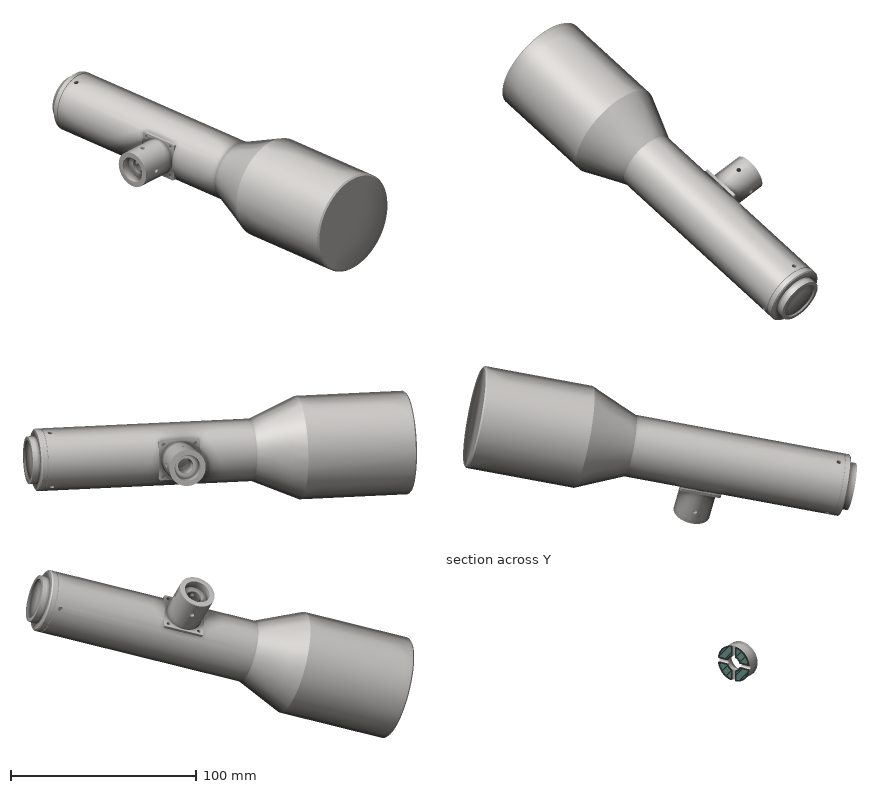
import cadquery as cq
import math

total_length = 209.2
eyepiece_radius = 13.0
eyepiece_length = 4.0
barrel_radius = 17.0
cap_end_x = 7.1
cap_chamfer = 0.6
groove_width = 0.6
groove_depth = 0.5
cone_start_x = 123.0
cone_end_x = 149.0
bell_radius = 28.0
bell_chamfer = 0.8

seat_radius = 10.9
seat_depth = 1.0
lens_radius = 9.6
lens_height = 0.8

screw_x = 10.9
screw_hole_radius = 1.3
screw_hole_depth = 2.0
screw_count = 3
first_screw_angle = 70.0

port_x = 80.3
port_radius = 10.0
port_end_y = -36.5
port_bore_radius = 7.1
port_bore_depth = 5.0
inner_bore_radius = 4.2
cross_hole_radius = 1.3
cross_hole_inset = 8.2

plate_width = 22.8
plate_height = 22.0
plate_corner_radius = 1.0
plate_front_y = -15.7
plate_thickness = 1.7
plate_hole_offset = 8.8
plate_hole_radius = 1.0


def cylinder(start, direction, radius, length):
    """Solid cylinder growing from a start point along a direction."""
    return cq.Workplane(cq.Solid.makeCylinder(radius, length, cq.Vector(*start), cq.Vector(*direction)))


def make_barrel():
    """Lens, eyepiece, end cap, groove, tube, cone and bell in one revolved profile."""
    groove_end_x = cap_end_x + groove_width
    groove_radius = barrel_radius - groove_depth
    lens_crown = (seat_depth - lens_height, 0)
    lens_rim = (seat_depth, lens_radius)

    sphere_radius = (lens_radius**2 + lens_height**2) / (2 * lens_height)
    half_angle = math.asin(lens_radius / sphere_radius) / 2
    lens_middle = (
        lens_crown[0] + sphere_radius * (1 - math.cos(half_angle)),
        sphere_radius * math.sin(half_angle),
    )

    outline = [
        (seat_depth, seat_radius),
        (0, seat_radius),
        (0, eyepiece_radius),
        (eyepiece_length, eyepiece_radius),
        (eyepiece_length, barrel_radius - cap_chamfer),
        (eyepiece_length + cap_chamfer, barrel_radius),
        (cap_end_x, barrel_radius),
        (cap_end_x, groove_radius),
        (groove_end_x, groove_radius),
        (groove_end_x, barrel_radius),
        (cone_start_x, barrel_radius),
        (cone_end_x, bell_radius),
        (total_length - bell_chamfer, bell_radius),
        (total_length, bell_radius - bell_chamfer),
        (total_length, 0),
    ]
    profile = cq.Workplane("XY").moveTo(*lens_crown).threePointArc(lens_middle, lens_rim)
    for point in outline:
        profile = profile.lineTo(*point)
    return profile.close().revolve(360, (0, 0), (1, 0, 0))


def cut_screw_holes(body):
    """Blind radial holes evenly spaced around the barrel."""
    for index in range(screw_count):
        angle = math.radians(first_screw_angle + index * 360 / screw_count)
        outward = (0, -math.cos(angle), math.sin(angle))
        floor_radius = barrel_radius - screw_hole_depth
        start = (screw_x, floor_radius * outward[1], floor_radius * outward[2])
        body = body.cut(cylinder(start, outward, screw_hole_radius, 2 * screw_hole_depth))
    return body


def add_plate(body):
    """Recess the barrel and set the drilled plate into it."""
    plate_back_y = plate_front_y + plate_thickness
    recess_depth = barrel_radius + plate_back_y
    recess = cq.Workplane("XY").box(plate_width, recess_depth, plate_height, centered=(True, False, True))
    recess = recess.translate((port_x, -barrel_radius, 0))
    hole_pitch = 2 * plate_hole_offset
    plate = (
        cq.Workplane("XZ", origin=(port_x, plate_back_y, 0))
        .rect(plate_width, plate_height)
        .extrude(plate_thickness)
        .edges("|Y")
        .fillet(plate_corner_radius)
        .faces("<Y")
        .workplane(origin=(port_x, plate_front_y, 0))
        .rect(hole_pitch, hole_pitch, forConstruction=True)
        .vertices()
        .hole(2 * plate_hole_radius)
    )
    return body.cut(recess).union(plate)


def add_port(body):
    """Side tube rooted in the barrel, with a stepped bore and two cross holes."""
    inward = (0, 1, 0)
    end = (port_x, port_end_y, 0)
    body = body.union(cylinder(end, inward, port_radius, -port_end_y))
    body = body.cut(cylinder(end, inward, port_bore_radius, port_bore_depth))

    inner_bore = cylinder(end, inward, inner_bore_radius, -port_end_y)
    barrel_core = cylinder((port_x - port_radius, 0, 0), (1, 0, 0), barrel_radius, 2 * port_radius)
    body = body.cut(inner_bore.cut(barrel_core))

    hole_y = port_end_y + cross_hole_inset
    hole_length = 2 * port_radius
    body = body.cut(cylinder((port_x - port_radius, hole_y, 0), (1, 0, 0), cross_hole_radius, hole_length))
    return body.cut(cylinder((port_x, hole_y, -port_radius), (0, 0, 1), cross_hole_radius, hole_length))


barrel = make_barrel()
barrel = cut_screw_holes(barrel)
barrel = add_plate(barrel)
result = add_port(barrel)